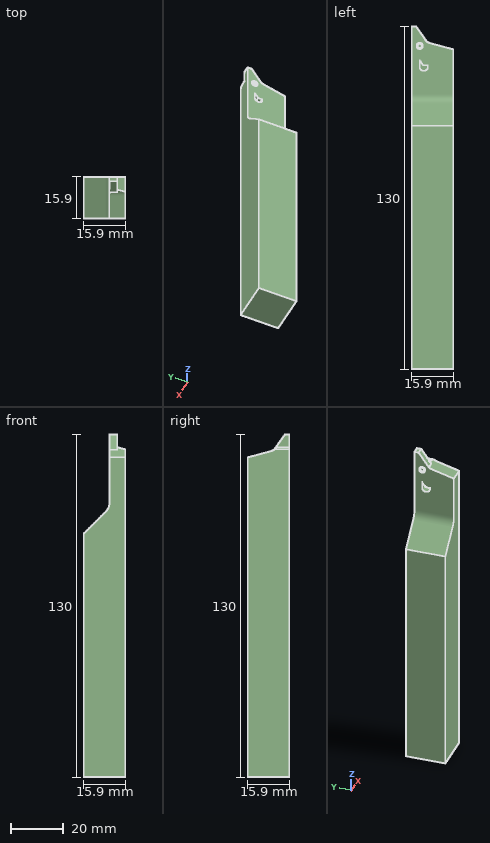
import cadquery as cq
import math

SIDE = 15.88
LENGTH = 130.0

HEAD_THICKNESS = 6.08
SHOULDER_DROP = 37.7
SHOULDER_FILLET = 5.0
NOSE_DROP = 8.7
NOSE_ANGLE = 15.0
NOSE_FILLET = 3.7
FLANK_SETBACK = 0.25
SEAT_TOP_DROP = 4.85
SEAT_TOP_ANGLE = 15.0

INSERT_THICKNESS = 3.0
INSERT_ANGLE = 35.4
INSERT_WIDTH = 6.18
INSERT_HEIGHT = 14.8
TIP_WIDTH = 1.73

SLOT_WIDTH = 3.1
SLOT_END_DROP = 16.9

RECESS_DIAMETER = 2.4
RECESS_DEPTH = 0.2
SOCKET_DIAMETER = 1.6
SOCKET_DEPTH = 0.4

BACK_Y = SIDE / 2
FRONT_Y = -SIDE / 2
RIGHT_X = SIDE / 2
LEFT_X = -SIDE / 2
HEAD_X = RIGHT_X - HEAD_THICKNESS
SEAT_X = HEAD_X + INSERT_THICKNESS
INSERT_FRONT_Y = BACK_Y - INSERT_WIDTH
INSERT_BOTTOM_Z = LENGTH - INSERT_HEIGHT
SLANT_RUN = INSERT_WIDTH - TIP_WIDTH
SLANT_RISE = SLANT_RUN / math.tan(math.radians(INSERT_ANGLE))
NOSE_SLOPE = math.tan(math.radians(NOSE_ANGLE))
NOSE_FRONT_Z = LENGTH - NOSE_DROP


def along_x(outline, start_x, depth):
    """Extrude a closed (Y, Z) outline towards +X."""
    return cq.Workplane("YZ", origin=(start_x, 0, 0)).polyline(outline).close().extrude(depth)


def make_blank():
    """Square shank with the 45 degree shoulder running into the thin head."""
    shoulder_foot_z = LENGTH - SHOULDER_DROP
    shoulder_head_z = shoulder_foot_z + HEAD_X - LEFT_X
    blank = (
        cq.Workplane("XZ", origin=(0, BACK_Y, 0))
        .moveTo(LEFT_X, 0)
        .lineTo(RIGHT_X, 0)
        .lineTo(RIGHT_X, LENGTH)
        .lineTo(HEAD_X, LENGTH)
        .lineTo(HEAD_X, shoulder_head_z)
        .lineTo(LEFT_X, shoulder_foot_z)
        .close()
        .extrude(SIDE)
    )
    corner = cq.selectors.NearestToPointSelector((HEAD_X, 0, shoulder_head_z))
    return blank.edges(corner).fillet(SHOULDER_FILLET)


def nose_cutter():
    """Space above the nose: gentle fall to the front, rounded into the steep flank behind the insert."""
    tip_y = BACK_Y - TIP_WIDTH + FLANK_SETBACK
    flank_slope = SLANT_RISE / SLANT_RUN
    corner_y = (
        (NOSE_FRONT_Z - NOSE_SLOPE * FRONT_Y - LENGTH + flank_slope * tip_y)
        / (flank_slope - NOSE_SLOPE)
    )
    corner_z = LENGTH + flank_slope * (corner_y - tip_y)
    outline = [
        (FRONT_Y, NOSE_FRONT_Z),
        (corner_y, corner_z),
        (tip_y, LENGTH),
        (FRONT_Y, LENGTH),
    ]
    corner = cq.selectors.NearestToPointSelector((HEAD_X + HEAD_THICKNESS / 2, corner_y, corner_z))
    return along_x(outline, HEAD_X, HEAD_THICKNESS).edges(corner).fillet(NOSE_FILLET)


def seat_top_cutter():
    """Space above the seat's top face, which falls away behind the insert."""
    seat_z = LENGTH - SEAT_TOP_DROP
    seat_thickness = RIGHT_X - SEAT_X
    outer_z = seat_z - seat_thickness * math.tan(math.radians(SEAT_TOP_ANGLE))
    return (
        cq.Workplane("XZ", origin=(0, BACK_Y, 0))
        .polyline([(SEAT_X, seat_z), (RIGHT_X, outer_z), (RIGHT_X, LENGTH), (SEAT_X, LENGTH)])
        .close()
        .extrude(SIDE)
    )


def make_insert():
    """Rhomboid insert plate, point-symmetric about its centre."""
    outline = [
        (BACK_Y, LENGTH),
        (BACK_Y - TIP_WIDTH, LENGTH),
        (INSERT_FRONT_Y, LENGTH - SLANT_RISE),
        (INSERT_FRONT_Y, INSERT_BOTTOM_Z),
        (INSERT_FRONT_Y + TIP_WIDTH, INSERT_BOTTOM_Z),
        (BACK_Y, INSERT_BOTTOM_Z + SLANT_RISE),
    ]
    return along_x(outline, HEAD_X, INSERT_THICKNESS)


def slot_cutter():
    """Round-ended clearance slot reaching down from under the insert."""
    slot_radius = SLOT_WIDTH / 2
    slot_y = INSERT_FRONT_Y + slot_radius
    slot_end_z = LENGTH - SLOT_END_DROP
    slot_top_z = LENGTH - INSERT_HEIGHT / 2
    return (
        cq.Workplane("YZ", origin=(HEAD_X, 0, 0))
        .moveTo(INSERT_FRONT_Y, slot_top_z)
        .lineTo(INSERT_FRONT_Y, slot_end_z + slot_radius)
        .threePointArc((slot_y, slot_end_z), (slot_y + slot_radius, slot_end_z + slot_radius))
        .lineTo(slot_y + slot_radius, slot_top_z)
        .close()
        .extrude(INSERT_THICKNESS)
    )


def recess_cutter():
    """Shallow round recess at the insert's centre, with a narrower socket in its floor."""
    insert_centre = (HEAD_X, BACK_Y - INSERT_WIDTH / 2, LENGTH - INSERT_HEIGHT / 2)
    axis = cq.Workplane("YZ", origin=insert_centre)
    recess = axis.circle(RECESS_DIAMETER / 2).extrude(RECESS_DEPTH)
    socket = axis.circle(SOCKET_DIAMETER / 2).extrude(SOCKET_DEPTH)
    return recess.union(socket)


insert_plate = make_insert()
holder = make_blank().cut(nose_cutter()).cut(seat_top_cutter())
holder = holder.cut(slot_cutter()).cut(insert_plate)
insert = insert_plate.cut(recess_cutter())

result = holder.union(insert, clean=False)